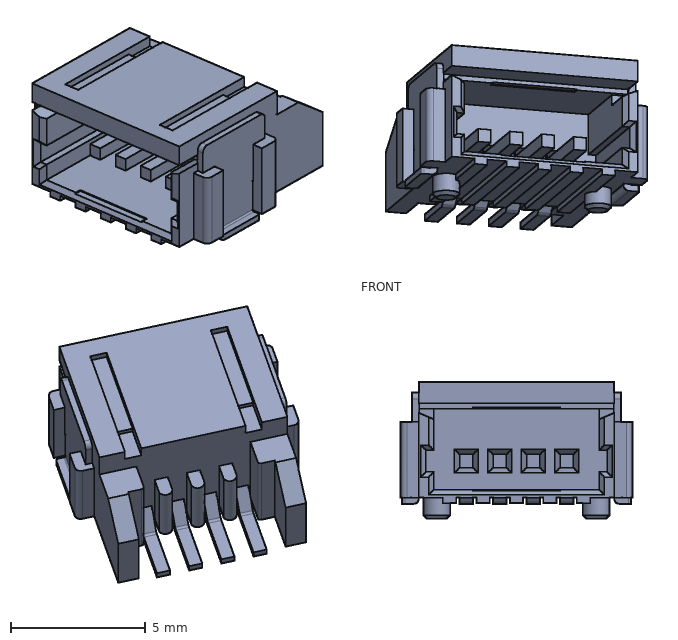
import cadquery as cq
import math

weld_overlap = 0.02

pitch = 1.245
contact_count = 4
pin_size = 0.49
pin_z = 1.36
pin_tip_y = 1.56
hole_flare = 0.2
hole_flare_depth = 0.43
tail_width = 0.51
tail_end_y = 8.1
tail_bottom_z = -0.24
tail_top_z = 0.013
tail_slope = 50.0
tail_lower_bend_y = 5.98
tail_upper_bend_y = 6.21
tail_lower_radius = 0.22
tail_upper_radius = 0.14
contact_xs = [(i - (contact_count - 1) / 2) * pitch for i in range(contact_count)]

half_width = 3.63
body_length = 5.545
body_height = 4.31
rear_wall = 1.2
cavity_depth = body_length - rear_wall
pin_root_y = cavity_depth + rear_wall / 2
tail_root_y = body_length - rear_wall / 4

cavity_half_width = 3.08
floor_z = 0.29
ceiling_z = 3.31
key_half_width = 3.37
key_bottom_z = 0.95
key_top_z = 1.765
mouth_chamfer = 0.19
recess_half_width = 1.635
recess_length = 0.285
recess_depth = 0.039

gap_top_z = ceiling_z + mouth_chamfer
wall_top_outer_z = 3.15
wall_top_inner_z = 2.915
lid_relief_depth = 1.2
wall_gap_depth = 1.45

groove_inner_x = 2.015
groove_width = 0.63
groove_front_y = 0.75
groove_depth = 0.25
groove_rear_depth = 0.415

wing_end_y = 8.15
wing_top_z = 3.3
wing_tail_top_z = 2.29
wing_slope_y = 6.75
wing_width = 0.8
shoulder_inner_x = 2.21
shoulder_end_y = 6.65
shoulder_radius = 0.11
finger_width = 0.51
finger_side_y = 6.18
finger_tip_y = 6.37
finger_top_z = 2.29

rib_width = 0.5
rib_height = 0.21
peg_x = 2.97
peg_y = 2.8
peg_diameter = 1.0
peg_length = 0.8
peg_chamfer = 0.14

plate_thickness = 0.26
plate_front_y = 1.05
plate_rear_y = 4.56
plate_top_z = 3.92
plate_corner_radius = 0.24
clip_outer_x = 4.325
clip_top_z = 2.82
clip_radius = 0.23
clip_front_span = (0.81, 1.7)
clip_rear_span = (3.89, 4.82)
foot_outer_x = 4.265
foot_bottom_z = -0.24
foot_top_z = 0
foot_front_y = 1.765
foot_rear_y = 3.86
foot_corner_radius = 0.095
foot_bend_radius = 0.21
foot_root_radius = 0.06
slit_top_z = 1.26


def block(x0, x1, y0, y1, z0, z1):
    return cq.Workplane("XY").box(x1 - x0, y1 - y0, z1 - z0, centered=False).translate((x0, y0, z0))


def mirrored(solid):
    return solid.union(solid.mirror("YZ"))


def flared_pocket(center_x, width, z0, z1, front_y, depth, flare, flare_depth):
    """Rectangular pocket along +Y whose mouth widens by `flare` on every side."""
    straight = block(center_x - width / 2, center_x + width / 2, front_y, front_y + depth, z0, z1)
    mouth = (
        cq.Workplane("XZ", origin=(center_x, front_y, (z0 + z1) / 2))
        .rect(width + 2 * flare, z1 - z0 + 2 * flare)
        .workplane(offset=-flare_depth)
        .rect(width, z1 - z0)
        .loft(ruled=True)
    )
    return straight.union(mouth)


def make_cavity():
    main = flared_pocket(0, 2 * cavity_half_width, floor_z, ceiling_z, 0, cavity_depth,
                         mouth_chamfer, mouth_chamfer)
    key = flared_pocket(0, 2 * key_half_width, key_bottom_z, key_top_z, 0, cavity_depth,
                        mouth_chamfer, mouth_chamfer)
    cavity = main.union(key)
    for front_y, z in ((mouth_chamfer - recess_depth, floor_z), (lid_relief_depth, ceiling_z)):
        recess = block(
            -recess_half_width, recess_half_width,
            front_y, front_y + recess_length,
            z - recess_depth, z + recess_depth,
        )
        cavity = cavity.union(recess)
    return cavity


def make_lid_gap():
    """Gap below the lid: a full-height front relief and a lower slot running deeper."""
    def profile(top_z, depth):
        outline = [
            (-half_width, top_z), (-half_width, wall_top_outer_z),
            (-cavity_half_width, wall_top_inner_z), (cavity_half_width, wall_top_inner_z),
            (half_width, wall_top_outer_z), (half_width, top_z),
        ]
        return cq.Workplane("XZ").polyline(outline).close().extrude(-depth)

    return profile(gap_top_z, lid_relief_depth).union(profile(ceiling_z, wall_gap_depth))


def make_grooves():
    outer_x = groove_inner_x + groove_width
    front = block(groove_inner_x, outer_x, groove_front_y, body_length,
                  body_height - groove_depth, body_height)
    rear = block(groove_inner_x, outer_x, cavity_depth, body_length,
                 body_height - groove_rear_depth, body_height)
    return mirrored(front.union(rear))


def make_wings():
    start_y = body_length - weld_overlap
    wing_outline = [
        (start_y, 0), (wing_end_y, 0), (wing_end_y, wing_tail_top_z),
        (wing_slope_y, wing_top_z), (start_y, wing_top_z),
    ]
    wing = (
        cq.Workplane("YZ", origin=(half_width - wing_width, 0, 0))
        .polyline(wing_outline).close().extrude(wing_width)
    )
    shoulder = block(shoulder_inner_x, half_width, start_y, shoulder_end_y, 0, wing_top_z)
    shoulder = shoulder.edges("|Z and <X and >Y").fillet(shoulder_radius)
    return mirrored(wing.union(shoulder))


def make_finger(x):
    """Round-tipped partition between two neighbouring contact tails."""
    half = finger_width / 2
    return (
        cq.Workplane("XY", origin=(x, 0, 0))
        .moveTo(-half, body_length - weld_overlap)
        .lineTo(-half, finger_side_y)
        .threePointArc((0, finger_tip_y), (half, finger_side_y))
        .lineTo(half, body_length - weld_overlap)
        .close()
        .extrude(finger_top_z)
    )


def make_rib(x):
    return block(x - rib_width / 2, x + rib_width / 2, 0, body_length, -rib_height, weld_overlap)


def make_pegs():
    peg = (
        cq.Workplane("XY", origin=(peg_x, peg_y, weld_overlap))
        .circle(peg_diameter / 2).extrude(-peg_length - weld_overlap)
        .faces("<Z").chamfer(peg_chamfer)
    )
    return mirrored(peg)


def make_pin(x):
    half = pin_size / 2
    return block(x - half, x + half, pin_tip_y, pin_root_y, pin_z - half, pin_z + half)


def make_tail(x):
    """Solder tail: a flat foot that bends up and slopes into the rear wall."""
    climb = math.tan(math.radians(tail_slope))
    outline = [
        (tail_end_y, tail_bottom_z), (tail_lower_bend_y, tail_bottom_z),
        (tail_root_y, tail_bottom_z + climb * (tail_lower_bend_y - tail_root_y)),
        (tail_root_y, tail_top_z + climb * (tail_upper_bend_y - tail_root_y)),
        (tail_upper_bend_y, tail_top_z), (tail_end_y, tail_top_z),
    ]
    tail = (
        cq.Workplane("YZ", origin=(x - tail_width / 2, 0, 0))
        .polyline(outline).close().extrude(tail_width)
    )
    lower_bend = (x, tail_lower_bend_y, tail_bottom_z)
    upper_bend = (x, tail_upper_bend_y, tail_top_z)
    tail = tail.edges(cq.NearestToPointSelector(lower_bend)).fillet(tail_lower_radius)
    return tail.edges(cq.NearestToPointSelector(upper_bend)).fillet(tail_upper_radius)


def make_clips():
    clips = None
    for (y0, y1), rounded_edge in ((clip_front_span, "<Y"), (clip_rear_span, ">Y")):
        clip = block(half_width - weld_overlap, clip_outer_x, y0, y1, 0, clip_top_z)
        clip = clip.edges(f"|Z and >X and {rounded_edge}").fillet(clip_radius)
        clips = clip if clips is None else clips.union(clip)
    return mirrored(clips)


def make_retention_tabs():
    plate_outer_x = half_width + plate_thickness
    plate = block(half_width - weld_overlap, plate_outer_x, plate_front_y, plate_rear_y, 0, plate_top_z)
    plate = plate.edges("|X and >Z").fillet(plate_corner_radius)
    for y0, y1 in ((clip_front_span[1], foot_front_y), (foot_rear_y, clip_rear_span[0])):
        plate = plate.cut(block(half_width, plate_outer_x, y0, y1, 0, slit_top_z))

    foot = block(half_width, foot_outer_x, foot_front_y, foot_rear_y, foot_bottom_z, foot_top_z)
    foot = foot.edges("|Y and <X and <Z").fillet(foot_bend_radius)
    foot = foot.edges("|Z and >X").fillet(foot_corner_radius)
    root = (
        cq.Workplane("XZ", origin=(plate_outer_x, foot_front_y, foot_top_z))
        .lineTo(foot_root_radius, 0)
        .radiusArc((0, foot_root_radius), foot_root_radius)
        .close()
        .extrude(foot_front_y - foot_rear_y)
    )
    return mirrored(plate.union(foot).union(root))


result = block(-half_width, half_width, 0, body_length, 0, body_height)
result = result.cut(make_cavity()).cut(make_lid_gap()).cut(make_grooves())
result = result.union(make_wings()).union(make_pegs())
for i in range(contact_count - 1):
    result = result.union(make_finger((contact_xs[i] + contact_xs[i + 1]) / 2))
for i in range(contact_count + 1):
    result = result.union(make_rib((i - contact_count / 2) * pitch))

for contact_x in contact_xs:
    hole = flared_pocket(
        contact_x, pin_size, pin_z - pin_size / 2, pin_z + pin_size / 2,
        cavity_depth, pin_root_y - cavity_depth, hole_flare, hole_flare_depth,
    )
    result = result.cut(hole).union(make_pin(contact_x)).union(make_tail(contact_x))

result = result.union(make_clips()).union(make_retention_tabs())